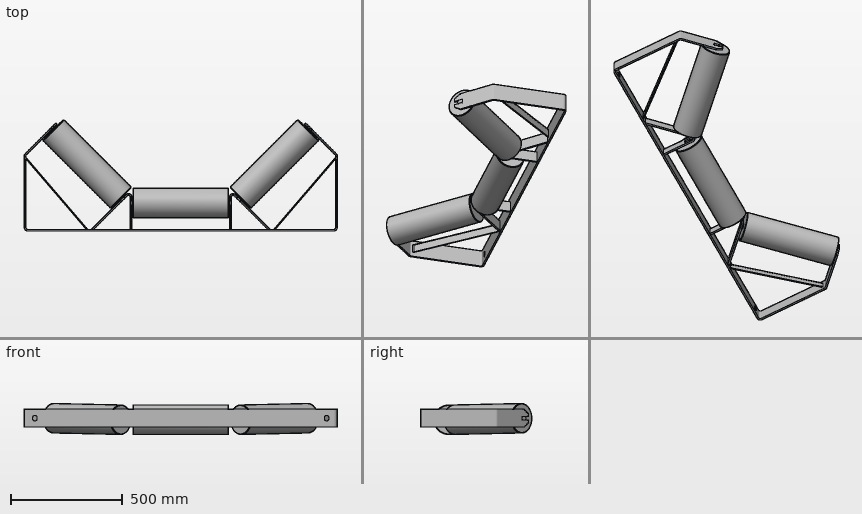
import cadquery as cq
import math

overall_width = 1400.0
plate = 8.0

strap_height = 80.0
bend_radius = 16.0
wing_bend_radius = 12.0
post_height = 342.0
wing_length = 200.0
wing_corner_run = 30.0
wing_corner_rise = 20.0
mount_hole_width = 20.0
mount_hole_height = 25.0
mount_hole_inset = 48.0

bracket_height = 50.0
bracket_post_x = 482.0

brace_height = 38.0
brace_thickness = 5.0
brace_top = 330.0
brace_foot = 284.0

roller_diameter = 133.0
roller_length = 429.0
roller_chamfer = 3.0
wing_span = 440.0
shaft_diameter = 25.0
shaft_flat = 17.0
shoulder_gap = 0.5
shaft_drop = 7.0
centre_roller_y = 126.0
wing_axis_sum = 582.5

mid_x = overall_width / 2
sin45 = math.sqrt(0.5)
centre_span = overall_width - 2 * bracket_post_x
slot_reach = 60.0
slot_overrun = 3.0


def mirrored(body):
    """The copy of a left-hand body on the right-hand side."""
    return body.mirror("YZ", (mid_x, 0, 0))


def extruded(points, height, z_centre):
    """A polygon in XY extruded symmetrically about z_centre."""
    base = cq.Workplane("XY", origin=(0, 0, z_centre - height / 2))
    return base.polyline(points).close().extrude(height)


def bent(body, outer_corner, inner_corner, radius):
    """Round one corner of a strip as a bend with concentric outer and inner faces."""
    for (x, y), face_radius in ((outer_corner, radius), (inner_corner, radius - plate)):
        body = body.edges(cq.selectors.NearestToPointSelector((x, y, 0))).fillet(face_radius)
    return body


plate_offset = plate / sin45
wing_face_offset = plate_offset - post_height
bracket_face_offset = wing_face_offset + wing_span / sin45


def wing_point(difference, z):
    """Point on the left wing roller's axis where x - y equals the given difference."""
    return cq.Vector((wing_axis_sum + difference) / 2, (wing_axis_sum - difference) / 2, z)


wing_start = wing_point(-post_height, 0)
wing_end = wing_point(bracket_face_offset + plate_offset, -shaft_drop)
wing_middle = (wing_start + wing_end) * 0.5
wing_direction = (wing_end - wing_start).normalized()
wing_across = cq.Vector(sin45, sin45, 0)

centre_middle = cq.Vector(mid_x, centre_roller_y, -shaft_drop)
centre_direction = cq.Vector(1, 0, 0)
centre_across = cq.Vector(0, 1, 0)


def along_axis(middle, direction, across, length):
    """Workplane normal to a shaft axis, from which that length extrudes centred on the shaft's middle."""
    return cq.Workplane(cq.Plane(middle - direction * (length / 2), across, direction))


def flat_shaft(middle, direction, across, length):
    """Round bar with two flats parallel to the across direction."""
    work = along_axis(middle, direction, across, length)
    flats = work.rect(shaft_diameter, shaft_flat).extrude(length)
    return work.circle(shaft_diameter / 2).extrude(length).intersect(flats)


def make_roller(middle, direction, across, span):
    """A roller with its shaft, flattened where each end sits in a plate slot."""
    drum = (
        along_axis(middle, direction, across, roller_length)
        .circle(roller_diameter / 2).extrude(roller_length)
        .edges().chamfer(roller_chamfer)
    )
    shoulder_length = span - 2 * shoulder_gap
    shoulder = (
        along_axis(middle, direction, across, shoulder_length)
        .circle(shaft_diameter / 2).extrude(shoulder_length)
    )
    return drum.union(shoulder).union(flat_shaft(middle, direction, across, span + 2 * plate))


def make_slot(middle, direction, across, span):
    """Cutter for both slots of one shaft: round bottomed, open along the across direction."""
    length = span + 2 * plate + 2 * slot_overrun
    mouth = (
        along_axis(middle, direction, across, length)
        .center(slot_reach / 2, 0).rect(slot_reach, shaft_flat).extrude(length)
    )
    return flat_shaft(middle, direction, across, length).union(mouth)


wing_slot = make_slot(wing_middle, wing_direction, wing_across, wing_span)
centre_slot = make_slot(centre_middle, centre_direction, centre_across, centre_span)


def make_frame():
    reach = wing_length * sin45
    step = plate * sin45
    inner_bend = plate - wing_face_offset
    left = [
        (mid_x, 0), (0, 0), (0, post_height),
        (reach, post_height + reach),
        (reach + step, post_height + reach - step),
        (plate, inner_bend), (plate, plate), (mid_x, plate),
    ]
    half = extruded(left, strap_height, 0)
    half = bent(half, (0, 0), (plate, plate), bend_radius)
    half = bent(half, (0, post_height), (plate, inner_bend), wing_bend_radius)

    side = cq.Plane((0, post_height, 0), (1, 1, 0), (1, -1, 0))
    for sign in (-1, 1):
        top = sign * strap_height / 2
        corner = (
            cq.Workplane(side)
            .polyline([
                (wing_length, top), (wing_length - wing_corner_run, top),
                (wing_length, top - sign * wing_corner_rise),
            ])
            .close().extrude(plate)
        )
        half = half.cut(corner)
    hole = (
        cq.Workplane("XZ", origin=(mount_hole_inset, plate, 0))
        .slot2D(mount_hole_height, mount_hole_width, 90).extrude(plate)
    )
    half = half.cut(hole).cut(wing_slot)
    return half.union(mirrored(half))


def make_bracket():
    outer_offset = bracket_face_offset
    inner_offset = outer_offset + plate_offset
    inner_x = bracket_post_x - plate
    peak = (bracket_post_x, bracket_post_x - outer_offset)
    inner_peak = (inner_x, inner_x - inner_offset)
    points = [
        (bracket_post_x, plate), peak, (outer_offset + plate, plate),
        (inner_offset + plate, plate), inner_peak, (inner_x, plate),
    ]
    body = bent(extruded(points, bracket_height, -shaft_drop), peak, inner_peak, bend_radius)
    return body.cut(wing_slot).cut(centre_slot)


def make_brace():
    run = brace_foot - plate
    rise = brace_top - plate
    length = math.hypot(run, rise)
    points = [
        (plate, brace_top), (brace_foot, plate),
        (brace_foot - brace_thickness * length / rise, plate),
        (plate, brace_top - brace_thickness * length / run),
    ]
    return extruded(points, brace_height, 0)


frame = make_frame()
left_bracket = make_bracket()
left_brace = make_brace()
left_roller = make_roller(wing_middle, wing_direction, wing_across, wing_span)
centre_roller = make_roller(centre_middle, centre_direction, centre_across, centre_span)

bodies = [frame.val(), centre_roller.val()]
for body in (left_bracket, left_brace, left_roller):
    bodies += [body.val(), mirrored(body).val()]

result = cq.Compound.makeCompound(bodies)